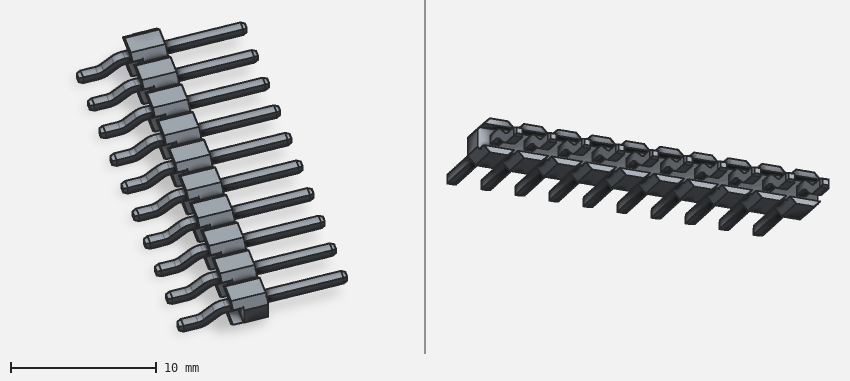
import cadquery as cq
import math


PITCH = 2.54
PIN_COUNT = 10

HOUSING_HEIGHT = PITCH
HOUSING_DEPTH = 2.5
HOUSING_CHAMFER = 0.6
FLANGE_THICKNESS = 0.46
RECESS_DEPTH = 0.75

PIN_SIZE = 0.64
PIN_LENGTH = 12.1
BACK_LENGTH = 6.0
BEND_START = 8.8
BEND_INNER_RADIUS = 0.7
BEND_ANGLE = 36.5
TIP_LENGTH = 0.3
TIP_SIZE = 0.44

HALF_HEIGHT = HOUSING_HEIGHT / 2
HOUSING_BACK = HOUSING_DEPTH / 2
HOUSING_FRONT = -HOUSING_DEPTH / 2
ROW_LENGTH = PIN_COUNT * PITCH
PIN_BACK = HOUSING_BACK + BACK_LENGTH
PIN_FRONT = PIN_BACK - PIN_LENGTH
FOOT_Z = PIN_SIZE / 2 - HALF_HEIGHT
PIN_POSITIONS = [(i - (PIN_COUNT - 1) / 2) * PITCH for i in range(PIN_COUNT)]


def housing_cell(x):
    """One octagonal cell of the housing, centred at x."""
    return (
        cq.Workplane("XY")
        .box(PITCH, HOUSING_DEPTH, HOUSING_HEIGHT)
        .edges("|Y")
        .chamfer(HOUSING_CHAMFER)
        .translate((x, 0, 0))
    )


def front_recess():
    """Channel along the whole front face, leaving a flange above and below."""
    return cq.Workplane("XY").box(
        ROW_LENGTH, RECESS_DEPTH, HOUSING_HEIGHT - 2 * FLANGE_THICKNESS
    ).translate((0, HOUSING_FRONT + RECESS_DEPTH / 2, 0))


def pin_path():
    """Centreline of the pin shank in the YZ plane, between its two tips."""
    angle = math.radians(BEND_ANGLE)
    radius = BEND_INNER_RADIUS + PIN_SIZE / 2
    arc_run = radius * math.sin(angle)
    arc_drop = radius * (1 - math.cos(angle))
    mid_run = radius * math.sin(angle / 2)
    mid_drop = radius * (1 - math.cos(angle / 2))
    slope_run = (-FOOT_Z - 2 * arc_drop) / math.tan(angle)

    bend_y = PIN_BACK - BEND_START
    foot_y = bend_y - 2 * arc_run - slope_run
    return (
        cq.Workplane("YZ")
        .moveTo(PIN_BACK - TIP_LENGTH, 0)
        .lineTo(bend_y, 0)
        .threePointArc((bend_y - mid_run, -mid_drop), (bend_y - arc_run, -arc_drop))
        .lineTo(foot_y + arc_run, FOOT_Z + arc_drop)
        .threePointArc((foot_y + mid_run, FOOT_Z + mid_drop), (foot_y, FOOT_Z))
        .lineTo(PIN_FRONT + TIP_LENGTH, FOOT_Z)
    )


def pin_tip(end_y, z, direction):
    """Tapered square tip ending at end_y and pointing along direction on Y."""
    base = cq.Plane(
        origin=(0, end_y - direction * TIP_LENGTH, z),
        xDir=(1, 0, 0),
        normal=(0, direction, 0),
    )
    return (
        cq.Workplane(base)
        .rect(PIN_SIZE, PIN_SIZE)
        .workplane(offset=TIP_LENGTH)
        .rect(TIP_SIZE, TIP_SIZE)
        .loft(ruled=True)
    )


def bent_pin():
    """One complete pin at x = 0."""
    shank_start = cq.Plane(
        origin=(0, PIN_BACK - TIP_LENGTH, 0), xDir=(1, 0, 0), normal=(0, -1, 0)
    )
    shank = cq.Workplane(shank_start).rect(PIN_SIZE, PIN_SIZE).sweep(pin_path())
    back_tip = pin_tip(PIN_BACK, 0, 1)
    foot_tip = pin_tip(PIN_FRONT, FOOT_Z, -1)
    return shank.union(back_tip).union(foot_tip)


def build_header():
    header = housing_cell(PIN_POSITIONS[0])
    for x in PIN_POSITIONS[1:]:
        header = header.union(housing_cell(x))
    header = header.cut(front_recess()).clean()
    pin = bent_pin()
    for x in PIN_POSITIONS:
        header = header.union(pin.translate((x, 0, 0)))
    return header


result = build_header()